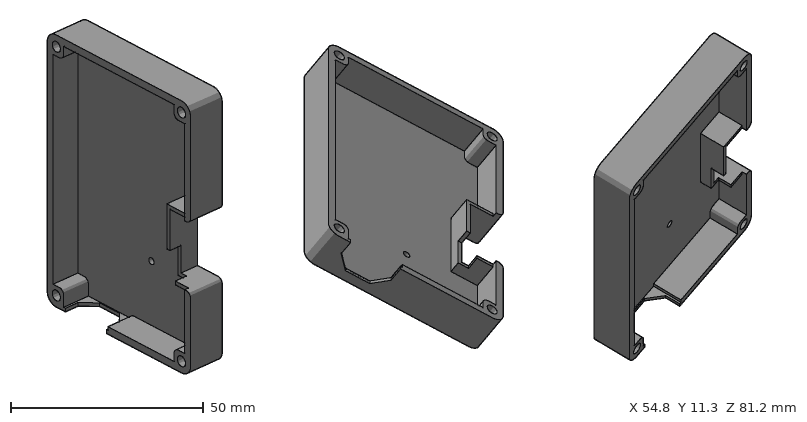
import cadquery as cq

width = 54.8
depth = 11.3
height = 81.2
corner_radius = 3.4
wall = 2.3
floor_thickness = 2.5

boss_size = 6.3
boss_radius = 1.7
screw_inset = 3.5
screw_diameter = 3.1

floor_hole_x = 3.0
floor_hole_z = -19.2
floor_hole_diameter = 1.95

notch_depth = 9.4
notch_bottom = -15.3
notch_top = 5.3
notch_end_radius = 1.7
lip_thickness = 1.1
lip_height = 7.4

gap_height_above_floor = 3.4
gap_top = -7.1
gap_right_inset = 7.3

thin_wall = 1.1
thin_end_x = -4.2
opening_left = -20.4
opening_right = -4.8
opening_chamfer = 4.0
opening_base_above_floor = 0.3

right = width / 2
top = height / 2
rim_y = -depth / 2
floor_y = depth / 2 - floor_thickness


def box(x_range, y_range, z_range):
    """Box spanning the given (low, high) ranges."""
    sizes = [high - low for low, high in (x_range, y_range, z_range)]
    block = cq.Workplane("XY").box(*sizes, centered=False)
    return block.translate((x_range[0], y_range[0], z_range[0]))


def make_tray():
    body = cq.Workplane("XY").box(width, depth, height).edges("|Y").fillet(corner_radius)
    cavity = box((wall - right, right - wall), (rim_y, floor_y), (wall - top, top - wall))
    for side in (-1, 1):
        for end in (-1, 1):
            boss = cq.Workplane("XY").box(2 * boss_size, depth, 2 * boss_size)
            boss = boss.edges("|Y").fillet(boss_radius)
            cavity = cavity.cut(boss.translate((side * right, 0, end * top)))
    return body.cut(cavity)


def hole(x, z, diameter):
    """Cylinder along Y through the whole depth."""
    return cq.Workplane("XZ").center(x, z).circle(diameter / 2).extrude(depth / 2, both=True)


def screw_holes():
    x = right - screw_inset
    z = top - screw_inset
    holes = hole(x, z, screw_diameter)
    for side, end in ((1, -1), (-1, 1), (-1, -1)):
        holes = holes.union(hole(side * x, end * z, screw_diameter))
    return holes


def notch_lip():
    notch_left = right - notch_depth
    lip = box(
        (notch_left - lip_thickness, right - wall),
        (floor_y - lip_height, floor_y),
        (notch_bottom - lip_thickness, notch_top + lip_thickness),
    )
    gap = box(
        (notch_left - lip_thickness, right - gap_right_inset),
        (rim_y, floor_y - gap_height_above_floor),
        (notch_bottom - lip_thickness, gap_top),
    )
    return lip.cut(gap)


def side_notch():
    """Notch cutter that flares to round the wall ends at the outer face."""
    left = right - notch_depth
    flare_x = right - notch_end_radius
    diagonal = notch_end_radius * 0.5 ** 0.5
    return (
        cq.Workplane("XZ")
        .moveTo(left, notch_bottom)
        .lineTo(flare_x, notch_bottom)
        .threePointArc(
            (flare_x + diagonal, notch_bottom - notch_end_radius + diagonal),
            (right, notch_bottom - notch_end_radius),
        )
        .lineTo(right, notch_top + notch_end_radius)
        .threePointArc(
            (flare_x + diagonal, notch_top + notch_end_radius - diagonal),
            (flare_x, notch_top),
        )
        .lineTo(left, notch_top)
        .close()
        .extrude(depth / 2, both=True)
    )


def wall_recess():
    return box((boss_size - right, thin_end_x), (rim_y, floor_y), (thin_wall - top, wall - top))


def connector_opening():
    """Opening through the bottom wall, narrowing toward the floor at 45 degrees."""
    base_y = floor_y - opening_base_above_floor
    shoulder_y = base_y - opening_chamfer
    return (
        cq.Workplane("XY", origin=(0, 0, -top))
        .polyline([
            (opening_left, rim_y),
            (opening_right, rim_y),
            (opening_right, shoulder_y),
            (opening_right - opening_chamfer, base_y),
            (opening_left + opening_chamfer, base_y),
            (opening_left, shoulder_y),
        ])
        .close()
        .extrude(thin_wall)
    )


result = (
    make_tray()
    .union(notch_lip())
    .cut(side_notch())
    .cut(wall_recess())
    .cut(connector_opening())
    .cut(screw_holes())
    .cut(hole(floor_hole_x, floor_hole_z, floor_hole_diameter))
)